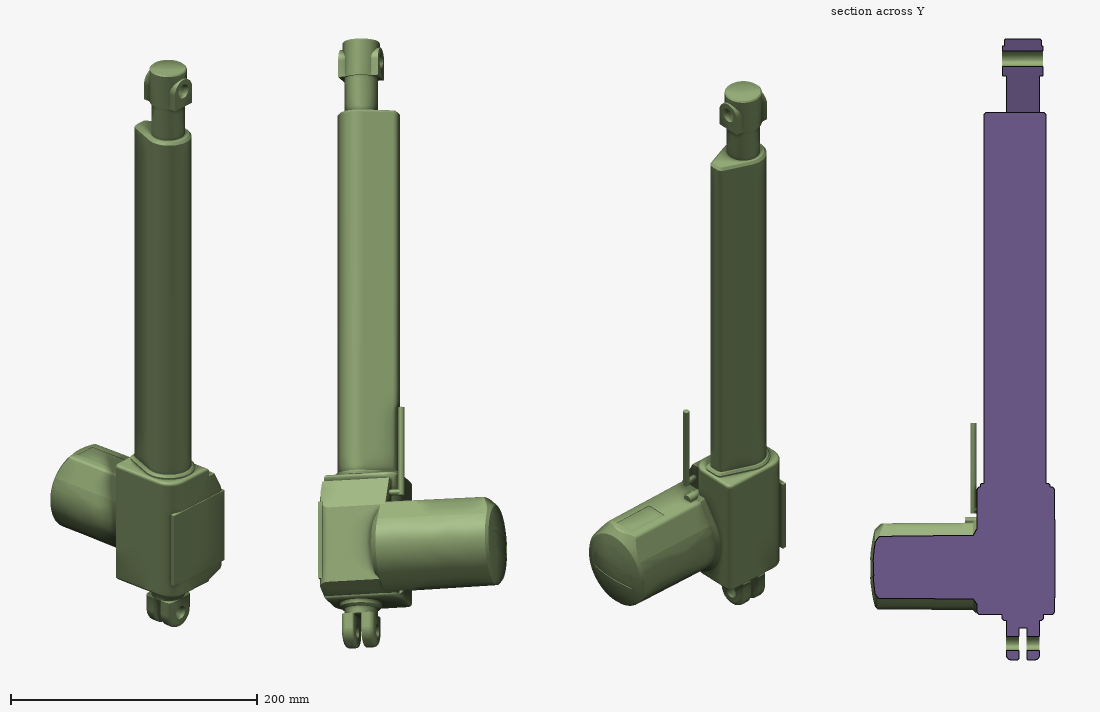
import cadquery as cq
import math


EPS = 0.25

TOTAL_HEIGHT = 505.0
ROD_RADIUS = 13.5
EYE_RADIUS = 15.0
EYE_BOTTOM = 475.0
EYE_TOP_CHAMFER = 1.0
EYE_HOLE_Z = 489.0
EYE_HOLE_RADIUS = 6.0
EYE_PAD_REACH = 16.5
EYE_PAD_RADIUS = 10.5

TUBE_TOP = 445.5
TUBE_AXIS_X = 1.0
TUBE_RADIUS = 18.0
TUBE_TAPER_ANGLE = 22.0
TUBE_BACK_X = -32.0
TUBE_CORNER_RADIUS = 5.0
TUBE_TOP_CHAMFER = 2.0
COLLAR_TOP = 144.0
COLLAR_MARGIN = 3.0
COLLAR_CHAMFER = 1.5

HOUSING_BOTTOM = 37.0
HOUSING_TOP = 141.0
HOUSING_LEFT = -37.5
HOUSING_RIGHT = 26.0
HOUSING_FRONT = -25.0
HOUSING_REAR = 21.0
HOUSING_FRONT_LEFT_RADIUS = 4.5
HOUSING_FRONT_RIGHT_RADIUS = 15.0
HOUSING_REAR_LEFT_RADIUS = 13.0
HOUSING_EDGE_RADIUS = 2.5

CASE_LEFT = -30.5
CASE_REAR = 41.5
CASE_RIDGE_Y = 28.0
CASE_RIDGE_Z = 134.0
CASE_SHOULDER_Z = 108.5
CASE_FOOT_Z = 46.5
CASE_CORNER_RADIUS = 8.0

COVER_RIGHT = 26.5
COVER_INNER = 22.5
COVER_FRONT = -22.5
COVER_REAR = 40.0
COVER_BOTTOM = 50.5
COVER_TOP = 114.0

MOTOR_Y = 23.0
MOTOR_Z = 75.0
MOTOR_RADIUS = 34.5
MOTOR_FLAT_Z = 111.5
MOTOR_TANGENT_ANGLE = 35.0
MOTOR_END_X = -124.5
MOTOR_INNER_X = -26.5
MOTOR_DRAFT = 0.4
MOTOR_FLAT_CORNER_RADIUS = 4.0
MOTOR_DOME_DEPTH = 4.0
MOTOR_TOP_ROUND = 14.0
MOTOR_DOME_RADIUS = 31.5
MOTOR_RIM_WIDTH = 10.0
FLARE = 3.0
FLARE_ANGLE = 45.0
SHOULDER_SLOPE_ANGLE = 45.0
SHOULDER_LENGTH = 5.0

LABEL_DEPTH = 0.5
TOP_LABEL_X = (-110.0, -74.5)
TOP_LABEL_Y = (13.5, 32.5)
END_LABEL_Y = (0.0, 47.0)
END_LABEL_Z = (67.0, 81.5)
END_LABEL_CORNER_RADIUS = 2.5

CABLE_RADIUS = 2.5
CABLE_X = -40.0
CABLE_Y = 25.5
CABLE_BOTTOM = 119.0
CABLE_TOP = 192.5
PLUG_RADIUS = 4.0
PLUG_Y = 16.0
PLUG_Z = 112.0
PLUG_LEFT = -47.0

FLANGE_RADIUS = 17.0
FLANGE_BOTTOM = 32.0
FLANGE_CHAMFER = 2.0
CLEVIS_HALF_WIDTH = 13.5
CLEVIS_ROOT_Z = 26.5
CLEVIS_SLOT_WIDTH = 6.0
CLEVIS_OUTER_ROUND = 4.0
CLEVIS_SLOT_ROUND = 1.5
CLEVIS_HOLE_RADIUS = 5.5
CLEVIS_HOLE_Z = CLEVIS_HALF_WIDTH


def block(x_range, y_range, z_range):
    """Box between the given limits."""
    size = [limits[1] - limits[0] for limits in (x_range, y_range, z_range)]
    corner = (x_range[0], y_range[0], z_range[0])
    return cq.Workplane("XY").box(*size, centered=False).translate(corner)


def z_cylinder(radius, bottom, top, x=0.0, y=0.0):
    """Cylinder along Z from bottom to top."""
    return cq.Workplane("XY", origin=(x, y, bottom)).circle(radius).extrude(top - bottom)


def x_cylinder(radius, left, right, y, z):
    """Cylinder along X from left to right."""
    return cq.Workplane("YZ", origin=(left, y, z)).circle(radius).extrude(right - left)


def arch(half_width, centre_z, end_z, left, right):
    """Prism along X: round about (0, centre_z) on one side and running straight to end_z on the other."""
    away = -math.copysign(half_width, end_z - centre_z)
    return (
        cq.Workplane("YZ", origin=(left, 0, 0))
        .moveTo(-half_width, end_z)
        .lineTo(-half_width, centre_z)
        .threePointArc((0, centre_z + away), (half_width, centre_z))
        .lineTo(half_width, end_z)
        .close()
        .extrude(right - left)
    )


def teardrop(radius, back_x, bottom, top):
    """Tube section: a circle with two tangents running to a flat at back_x."""
    angle = math.radians(TUBE_TAPER_ANGLE)
    tangent_x = TUBE_AXIS_X - radius * math.sin(angle)
    tangent_y = radius * math.cos(angle)
    back_y = tangent_y - (tangent_x - back_x) * math.tan(angle)
    return (
        cq.Workplane("XY", origin=(0, 0, bottom))
        .moveTo(back_x, back_y)
        .lineTo(tangent_x, tangent_y)
        .threePointArc((TUBE_AXIS_X + radius, 0), (tangent_x, -tangent_y))
        .lineTo(back_x, -back_y)
        .close()
        .extrude(top - bottom)
        .edges("|Z and <X")
        .fillet(TUBE_CORNER_RADIUS)
    )


def make_rod():
    rod = z_cylinder(ROD_RADIUS, TUBE_TOP, EYE_BOTTOM + EPS)
    eye = z_cylinder(EYE_RADIUS, EYE_BOTTOM, TOTAL_HEIGHT).faces(">Z").chamfer(EYE_TOP_CHAMFER)
    pads = arch(EYE_PAD_RADIUS, EYE_HOLE_Z, EYE_BOTTOM, -EYE_PAD_REACH, EYE_PAD_REACH)
    hole = x_cylinder(EYE_HOLE_RADIUS, -EYE_PAD_REACH, EYE_PAD_REACH, 0, EYE_HOLE_Z)
    return rod.union(eye).union(pads).cut(hole)


def make_tube():
    tube = teardrop(TUBE_RADIUS, TUBE_BACK_X, HOUSING_TOP - EPS, TUBE_TOP)
    tube = tube.faces(">Z").chamfer(TUBE_TOP_CHAMFER)
    collar_radius = TUBE_RADIUS + COLLAR_MARGIN
    collar = teardrop(collar_radius, TUBE_BACK_X - COLLAR_MARGIN, HOUSING_TOP - EPS, COLLAR_TOP)
    return tube.union(collar.faces(">Z").chamfer(COLLAR_CHAMFER))


def make_housing():
    return (
        block((HOUSING_LEFT, HOUSING_RIGHT), (HOUSING_FRONT, HOUSING_REAR), (HOUSING_BOTTOM, HOUSING_TOP))
        .edges("|Z and <X and <Y")
        .fillet(HOUSING_FRONT_LEFT_RADIUS)
        .edges("|Z and >X and <Y")
        .fillet(HOUSING_FRONT_RIGHT_RADIUS)
        .edges("|Z and <X and >Y")
        .fillet(HOUSING_REAR_LEFT_RADIUS)
        .faces("<Z or >Z")
        .edges()
        .fillet(HOUSING_EDGE_RADIUS)
    )


def make_case():
    inner_y = 0.0
    bottom = HOUSING_BOTTOM + HOUSING_EDGE_RADIUS
    outline = [
        (inner_y, bottom),
        (HOUSING_REAR, bottom),
        (CASE_REAR, CASE_FOOT_Z),
        (CASE_REAR, CASE_SHOULDER_Z),
        (CASE_RIDGE_Y, CASE_RIDGE_Z),
        (inner_y, CASE_RIDGE_Z),
    ]
    return (
        cq.Workplane("YZ", origin=(CASE_LEFT, 0, 0))
        .polyline(outline)
        .close()
        .extrude(HOUSING_RIGHT - CASE_LEFT)
        .edges("|Z and >X and >Y")
        .fillet(CASE_CORNER_RADIUS)
    )


def make_cover():
    return block((COVER_INNER, COVER_RIGHT), (COVER_FRONT, COVER_REAR), (COVER_BOTTOM, COVER_TOP))


def motor_outline(workplane, margin=0.0):
    """Closed motor section, grown outward by margin, centred on the motor axis."""
    radius = MOTOR_RADIUS + margin
    flat_height = MOTOR_FLAT_Z - MOTOR_Z + margin
    angle = math.radians(MOTOR_TANGENT_ANGLE)
    tangent_y = radius * math.cos(angle)
    tangent_z = radius * math.sin(angle)
    flat_y = tangent_y - (flat_height - tangent_z) * math.tan(angle)
    return (
        workplane.moveTo(-flat_y, flat_height)
        .lineTo(-tangent_y, tangent_z)
        .threePointArc((0, -radius), (tangent_y, tangent_z))
        .lineTo(flat_y, flat_height)
        .close()
    )


def motor_plane(x, towards_end):
    """Section plane across the motor axis, facing the motor end (-X) or the gear case (+X)."""
    side = -1 if towards_end else 1
    return cq.Workplane(cq.Plane((x, MOTOR_Y, MOTOR_Z), (0, side, 0), (side, 0, 0)))


def motor_end_round():
    """Prism along Y that limits the motor with its rounded upper end edge."""
    depth = 2 * MOTOR_RADIUS
    return (
        block(
            (MOTOR_END_X, MOTOR_INNER_X),
            (MOTOR_Y - depth, MOTOR_Y + depth),
            (MOTOR_Z - depth, MOTOR_FLAT_Z),
        )
        .edges("|Y and <X and >Z")
        .fillet(MOTOR_TOP_ROUND)
    )


def motor_dome(inset=0.0):
    """Round envelope about the motor axis: a domed end with a 45 degree rim; inset moves it along +X."""
    mid_radius = MOTOR_DOME_RADIUS / 2
    dome_depth = MOTOR_DOME_DEPTH
    envelope = (
        cq.Workplane("XY")
        .moveTo(0, 0)
        .threePointArc((dome_depth / 4, mid_radius), (dome_depth, MOTOR_DOME_RADIUS))
        .line(MOTOR_RIM_WIDTH, MOTOR_RIM_WIDTH)
        .lineTo(MOTOR_INNER_X - MOTOR_END_X, MOTOR_DOME_RADIUS + MOTOR_RIM_WIDTH)
        .lineTo(MOTOR_INNER_X - MOTOR_END_X, 0)
        .close()
        .revolve(360, (0, 0, 0), (1, 0, 0))
    )
    return envelope.translate((MOTOR_END_X + inset, MOTOR_Y, MOTOR_Z))


def make_motor():
    length = MOTOR_INNER_X - MOTOR_END_X
    body = motor_outline(motor_plane(MOTOR_INNER_X, True)).extrude(length, taper=MOTOR_DRAFT)
    body = body.faces(">Z").edges("not |Y").fillet(MOTOR_FLAT_CORNER_RADIUS)
    body = body.intersect(motor_end_round()).intersect(motor_dome())

    top_label = block(TOP_LABEL_X, TOP_LABEL_Y, (MOTOR_FLAT_Z - 2 * LABEL_DEPTH, MOTOR_FLAT_Z))
    end_label = block((MOTOR_END_X, MOTOR_END_X + MOTOR_DOME_DEPTH), END_LABEL_Y, END_LABEL_Z)
    end_label = end_label.edges("|X").fillet(END_LABEL_CORNER_RADIUS).cut(motor_dome(LABEL_DEPTH))
    body = body.cut(top_label).cut(end_label)

    flare = motor_outline(motor_plane(HOUSING_LEFT, True), FLARE).extrude(FLARE, taper=FLARE_ANGLE)
    housing_width = block(
        (HOUSING_LEFT - FLARE, HOUSING_LEFT), (HOUSING_FRONT, HOUSING_REAR), (HOUSING_BOTTOM, HOUSING_TOP)
    )
    flare = flare.intersect(housing_width)
    shoulder = motor_outline(motor_plane(MOTOR_INNER_X - EPS, False)).extrude(
        SHOULDER_LENGTH, taper=SHOULDER_SLOPE_ANGLE
    )
    return body.union(shoulder).union(flare)


def make_cable():
    upright = z_cylinder(CABLE_RADIUS, CABLE_BOTTOM, CABLE_TOP, CABLE_X, CABLE_Y)
    entry = x_cylinder(CABLE_RADIUS, CABLE_X, CASE_LEFT + EPS, CABLE_Y, CABLE_BOTTOM + CABLE_RADIUS)
    return upright.union(entry)


def make_plug():
    return x_cylinder(PLUG_RADIUS, PLUG_LEFT, CASE_LEFT + EPS, PLUG_Y, PLUG_Z)


def make_clevis():
    flange = z_cylinder(FLANGE_RADIUS, FLANGE_BOTTOM, HOUSING_BOTTOM + EPS)
    flange = flange.faces("<Z").chamfer(FLANGE_CHAMFER)
    neck = z_cylinder(CLEVIS_HALF_WIDTH, CLEVIS_ROOT_Z - EPS, FLANGE_BOTTOM + EPS)
    clevis = flange.union(neck)
    for side in (-1, 1):
        inner = side * CLEVIS_SLOT_WIDTH / 2
        outer = side * CLEVIS_HALF_WIDTH
        prong = arch(CLEVIS_HALF_WIDTH, CLEVIS_HOLE_Z, CLEVIS_ROOT_Z, min(inner, outer), max(inner, outer))
        outer_face, inner_face = ("<X", ">X") if side < 0 else (">X", "<X")
        prong = prong.faces(outer_face).edges("not >Z").fillet(CLEVIS_OUTER_ROUND)
        prong = prong.faces(inner_face).edges("not >Z").fillet(CLEVIS_SLOT_ROUND)
        clevis = clevis.union(prong)
    hole = x_cylinder(CLEVIS_HOLE_RADIUS, -CLEVIS_HALF_WIDTH, CLEVIS_HALF_WIDTH, 0, CLEVIS_HOLE_Z)
    return clevis.cut(hole)


def make_actuator():
    actuator = make_housing()
    for feature in (
        make_case(),
        make_cover(),
        make_motor(),
        make_plug(),
        make_cable(),
        make_clevis(),
        make_tube(),
    ):
        actuator = actuator.union(feature)
    return actuator


actuator = make_actuator()
rod = make_rod()
result = cq.Compound.makeCompound([actuator.solids().val(), rod.solids().val()])